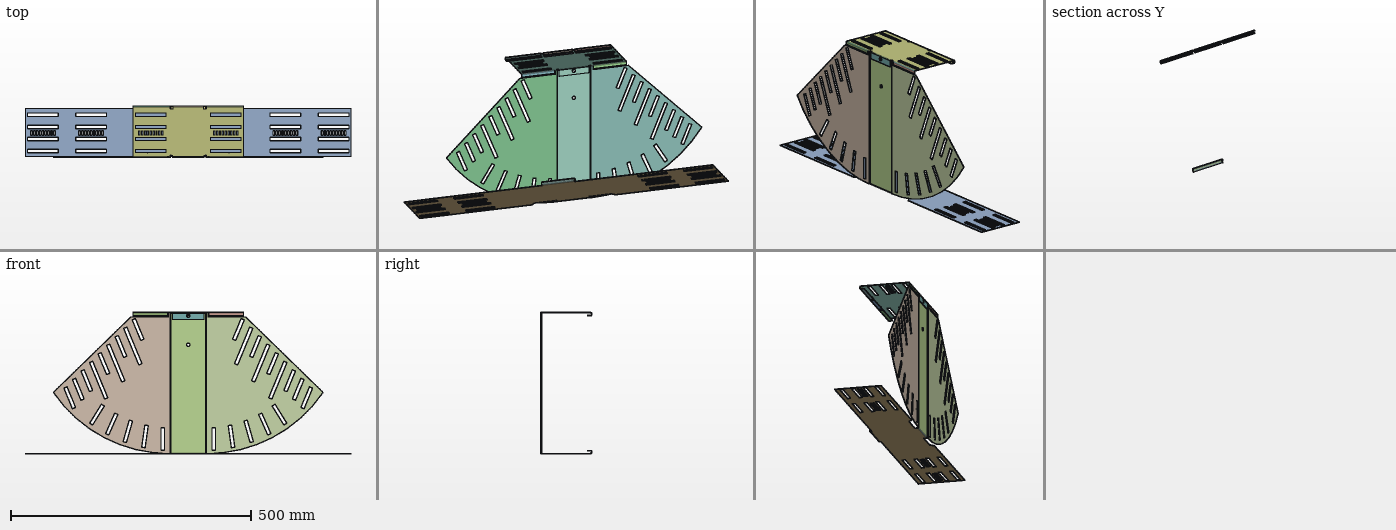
import cadquery as cq
import math


base_length = 678.0
total_depth = 107.0
total_height = 295.0
sheet = 1.5

web_bend_radius = 1.7
lip_bend_radius = 3.5
lip_height = 7.5
lip_return = 9.5

strip_half_width = 36.0
strip_front = sheet
strip_top = total_height - sheet - 1.0
wing_back = 102.0
relief_half_length = 92.0
relief_depth = 8.0

flange_half_length = 115.0
slit_outer = 37.0
slit_inner = 33.0
slit_run = 4.0
lip_slit_inner = 32.0
lip_slit_run = 6.0
tab_bottom = 279.0

hole_diameter = 7.0
tab_hole_z = 287.5
strip_hole_z = 227.0

neck_outer = 41.5
edge_inner = 43.0
edge_bottom = 287.5
fan_top = 285.5
fan_top_corner_x = 119.0
fan_tip = (283.0, 127.0)
neck_top = total_height - web_bend_radius
fan_pivot = (40.0, 291.5)
fan_radius = 291.0

slot_width = 7.0
edge_slot_count = 9
edge_slot_step = 17.75
edge_slot_first = (104.5, 259.0)
edge_slot_lean = 22.5
short_slot = 46.0
long_slot = 82.0
long_slot_numbers = (1, 3, 5)

arc_slot_count = 5
arc_slot_center = (53.0, 301.0)
arc_slot_radius = 270.0
arc_slot_radius_drop = 2.85
arc_slot_step = 8.0
arc_slot_length = 46.0

group_slot_length = 63.0
group_slot_width = 7.0
group_slot_count = 4
group_slot_pitch = 25.0
group_middle_y = 51.0
perforation_count = 9
perforation_pitch = 6.0
perforation_width = 3.05
perforation_length = 9.0
flange_group_x = 78.0
base_group_xs = (202.0, 302.5)


def box(x_range, y_range, z_range):
    size = [high - low for low, high in (x_range, y_range, z_range)]
    start = (x_range[0], y_range[0], z_range[0])
    return cq.Workplane("XY").box(*size, centered=False).translate(start)


def bent_sheet(half_length, front, web_height):
    """Base flange with a web rising at its front and a folded lip at its back, along X."""
    back = total_depth
    outer_bend = web_bend_radius
    inner_bend = web_bend_radius - sheet
    outer_lip = lip_bend_radius
    inner_lip = lip_bend_radius - sheet
    diagonal = math.sqrt(0.5)
    outer_mid = outer_bend * (1 - diagonal)
    inner_mid = sheet + inner_bend * (1 - diagonal)
    outer_lip_mid = outer_lip * (1 - diagonal)
    inner_lip_mid = sheet + inner_lip * (1 - diagonal)
    fold_end = back - lip_return
    profile = (
        cq.Workplane("YZ", origin=(-half_length, 0, 0))
        .moveTo(front, web_height)
        .lineTo(front, outer_bend)
        .threePointArc((front + outer_mid, outer_mid), (front + outer_bend, 0))
        .lineTo(back - outer_lip, 0)
        .threePointArc((back - outer_lip_mid, outer_lip_mid), (back, outer_lip))
        .lineTo(back, lip_height - sheet)
        .lineTo(back - sheet, lip_height)
        .lineTo(fold_end, lip_height)
        .lineTo(fold_end, lip_height - sheet)
        .lineTo(back - sheet, lip_height - sheet)
        .lineTo(back - sheet, outer_lip)
        .threePointArc((back - inner_lip_mid, inner_lip_mid), (back - outer_lip, sheet))
        .lineTo(front + outer_bend, sheet)
        .threePointArc((front + inner_mid, inner_mid), (front + sheet, outer_bend))
        .lineTo(front + sheet, web_height)
        .close()
    )
    return profile.extrude(2 * half_length)


def group_cutter(center_x, z):
    """Four long slots and a row of small perforations through a flange whose underside is at z."""
    rows = cq.Workplane("XY", origin=(center_x, group_middle_y, z))
    long_slots = (
        rows.rarray(7, group_slot_pitch, 1, group_slot_count)
        .rect(group_slot_length, group_slot_width)
        .extrude(sheet)
    )
    perforations = (
        rows.rarray(perforation_pitch, 7, perforation_count, 1)
        .rect(perforation_width, perforation_length)
        .extrude(sheet)
    )
    return long_slots.add(perforations).combine()


def screw_hole(z):
    """Cutter through both layers of the web."""
    return (
        cq.Workplane("XZ", origin=(0, 0, z))
        .circle(hole_diameter / 2)
        .extrude(-2 * sheet)
    )


def fan_slot(center, length, lean):
    """Slot cutter through a fan, leaning by the given degrees with its top away from the middle."""
    return (
        cq.Workplane("XZ")
        .rect(slot_width, length)
        .extrude(-sheet)
        .rotate((0, 0, 0), (0, 1, 0), lean)
        .translate((center[0], 0, center[1]))
    )


def fan():
    """Slotted fan on the +X side with its neck up to the flange bend."""
    pivot_x, pivot_z = fan_pivot
    inner_bottom = pivot_z - math.sqrt(fan_radius**2 - (slit_outer - pivot_x) ** 2)
    tip_angle = math.atan2(pivot_z - fan_tip[1], fan_tip[0] - pivot_x)
    arc_end = (
        pivot_x + fan_radius * math.cos(tip_angle),
        pivot_z - fan_radius * math.sin(tip_angle),
    )
    middle_angle = (tip_angle + math.pi / 2) / 2
    arc_middle = (
        pivot_x + fan_radius * math.cos(middle_angle),
        pivot_z - fan_radius * math.sin(middle_angle),
    )
    plate = (
        cq.Workplane("XZ")
        .moveTo(slit_outer, neck_top)
        .lineTo(neck_outer, neck_top)
        .lineTo(neck_outer, fan_top)
        .lineTo(fan_top_corner_x, fan_top)
        .lineTo(*arc_end)
        .threePointArc(arc_middle, (slit_outer, inner_bottom))
        .close()
        .extrude(-sheet)
    )

    lean = math.radians(edge_slot_lean)
    for number in range(edge_slot_count):
        length = long_slot if number in long_slot_numbers else short_slot
        shift = (length - short_slot) / 2
        center = (
            edge_slot_first[0] + number * edge_slot_step - shift * math.sin(lean),
            edge_slot_first[1] - number * edge_slot_step - shift * math.cos(lean),
        )
        plate = plate.cut(fan_slot(center, length, edge_slot_lean))

    for number in range(arc_slot_count):
        degrees = number * arc_slot_step
        radius = arc_slot_radius - number * arc_slot_radius_drop
        center = (
            arc_slot_center[0] + radius * math.sin(math.radians(degrees)),
            arc_slot_center[1] - radius * math.cos(math.radians(degrees)),
        )
        plate = plate.cut(fan_slot(center, arc_slot_length, -degrees))
    return plate


def make_upper_sheet():
    tab_height = total_height - tab_bottom
    body = bent_sheet(flange_half_length, 0, tab_height)
    body = body.mirror("XY").translate((0, 0, total_height))

    low = tab_bottom
    for side in (-1, 1):
        slit = tuple(sorted((side * slit_inner, side * slit_outer)))
        body = body.cut(box(slit, (0, slit_run), (low, total_height)))
        back = total_depth - lip_slit_run
        lip_slit = tuple(sorted((side * lip_slit_inner, side * slit_outer)))
        fold_front = total_depth - lip_return
        flange_underside = total_height - sheet
        body = body.cut(box(lip_slit, (fold_front, total_depth), (low, flange_underside)))
        body = body.cut(box(lip_slit, (back, total_depth), (low, total_height)))

        neck_gap = tuple(sorted((side * slit_outer, side * edge_inner)))
        body = body.cut(box(neck_gap, (0, sheet), (low, neck_top)))
        outside = tuple(sorted((side * edge_inner, side * flange_half_length)))
        body = body.cut(box(outside, (0, sheet), (low, edge_bottom)))

    right_fan = fan()
    body = body.union(right_fan).union(right_fan.mirror("YZ"))
    for center_x in (-flange_group_x, flange_group_x):
        body = body.cut(group_cutter(center_x, total_height - sheet))
    return body.cut(screw_hole(tab_hole_z))


def base_wing(side):
    """Half of the base plate beside the strip, with a relief that ends at 45 degrees."""
    relief_back = strip_front + relief_depth
    outline = [
        (strip_half_width, relief_back),
        (relief_half_length - relief_depth, relief_back),
        (relief_half_length, strip_front),
        (base_length / 2, strip_front),
        (base_length / 2, wing_back),
        (strip_half_width, wing_back),
    ]
    points = [(side * x, y) for x, y in outline]
    return cq.Workplane("XY").polyline(points).close().extrude(sheet)


def make_lower_sheet():
    body = bent_sheet(strip_half_width, strip_front, strip_top)
    for side in (-1, 1):
        body = body.union(base_wing(side))
        for group_x in base_group_xs:
            body = body.cut(group_cutter(side * group_x, 0))
    return body.cut(screw_hole(tab_hole_z)).cut(screw_hole(strip_hole_z))


upper_sheet = make_upper_sheet()
lower_sheet = make_lower_sheet()
result = cq.Compound.makeCompound([upper_sheet.val(), lower_sheet.val()])